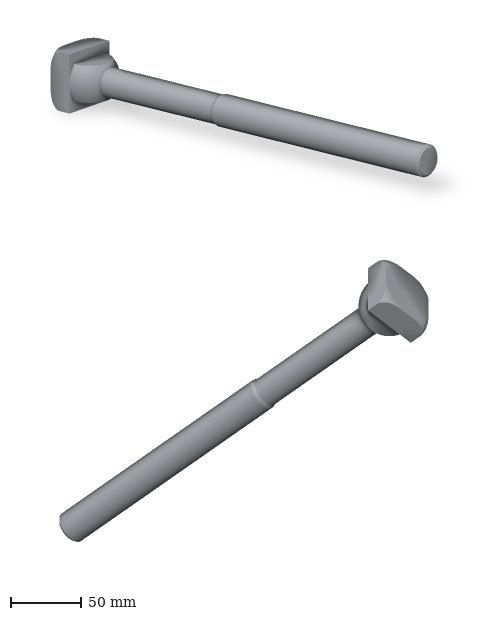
import cadquery as cq
import math

total_length = 333.0
head_width = 44.0
head_thickness = 17.5
neck_thickness = 27.5
neck_radius = head_width / 2
shank_diameter = 22.0
thread_diameter = 24.0
shoulder_start = 139.5
shoulder_length = 2.5
tip_chamfer = 2.0


def square_head():
    """Square plate whose outer corners are rounded about the bolt axis."""
    plate = cq.Workplane("YZ").rect(head_width, head_width).extrude(head_thickness)
    face_radius = head_width / 2
    corner_radius = face_radius * math.sqrt(2)
    rounding = corner_radius - face_radius
    arc_point_axial = rounding * (1 - math.sqrt(0.5))
    arc_point_radius = face_radius + rounding * math.sqrt(0.5)
    envelope = (
        cq.Workplane("XY")
        .lineTo(0, face_radius)
        .threePointArc((arc_point_axial, arc_point_radius), (rounding, corner_radius))
        .lineTo(head_thickness, corner_radius)
        .lineTo(head_thickness, 0)
        .close()
        .revolve(360, (0, 0, 0), (1, 0, 0))
    )
    return plate.intersect(envelope)


def spherical_neck():
    """Half ball behind the head, flattened at top and bottom."""
    ball = cq.Workplane("XY").sphere(neck_radius).translate((head_thickness, 0, 0))
    slab = (
        cq.Workplane("YZ", origin=(head_thickness, 0, 0))
        .rect(head_width, neck_thickness)
        .extrude(neck_radius)
    )
    return ball.intersect(slab)


def stepped_shank():
    """Plain shank, conical shoulder and thicker threaded length with a chamfered tip."""
    shank_radius = shank_diameter / 2
    thread_radius = thread_diameter / 2
    return (
        cq.Workplane("XY")
        .moveTo(head_thickness, 0)
        .lineTo(head_thickness, shank_radius)
        .lineTo(shoulder_start, shank_radius)
        .lineTo(shoulder_start + shoulder_length, thread_radius)
        .lineTo(total_length - tip_chamfer, thread_radius)
        .lineTo(total_length, thread_radius - tip_chamfer)
        .lineTo(total_length, 0)
        .close()
        .revolve(360, (0, 0, 0), (1, 0, 0))
    )


result = square_head().union(spherical_neck()).union(stepped_shank())